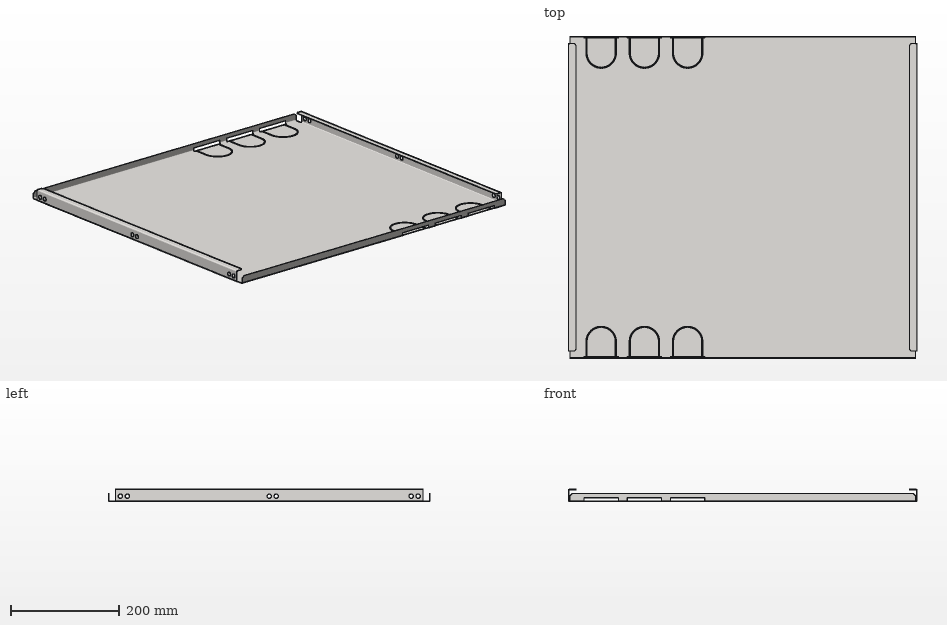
import cadquery as cq

length = 643.5
width = 594.0
height = 22.5
thickness = 1.0
bend_radius = 2.5

side_wall_width = 567.5
lip_width = 14.0
lip_corner = 3.0

end_wall_height = 15.0
end_wall_length = length - 2 * bend_radius
end_wall_corner = 4.5

hole_diameter = 8.0
hole_height = 9.5
hole_pair_spacing = 13.0
hole_end_offset = 275.0

tab_count = 3
tab_pitch = 80.0
first_tab_x = -261.0
slit_radius = 27.0
slit_width = 1.0
tab_depth = 58.0
bridge_width = 2.0

slot_width = 63.0
slot_top = 6.5
slot_reach = 2.9


def centred_box(size_x, size_y, size_z, bottom=0.0):
    """Box centred on X and Y that stands on the given height."""
    box = cq.Workplane("XY").box(size_x, size_y, size_z, centered=(True, True, False))
    return box.translate((0, 0, bottom))


def make_side_channel():
    """Floor, side walls and lips, bent along Y."""
    inner_radius = bend_radius - thickness
    outer = centred_box(length, side_wall_width, height).edges("|Y").fillet(bend_radius)
    inner = centred_box(length - 2 * thickness, side_wall_width, height - 2 * thickness, thickness)
    inner = inner.edges("|Y").fillet(inner_radius)
    lip_gap = length - 2 * lip_width
    opening = centred_box(lip_gap, side_wall_width, height, height / 2)
    channel = outer.cut(inner).cut(opening)
    for side in (-1, 1):
        for end in (-1, 1):
            corner = (side * lip_gap / 2, end * side_wall_width / 2, height - thickness / 2)
            channel = channel.edges(cq.selectors.NearestToPointSelector(corner)).chamfer(lip_corner)
    return channel


def make_end_channel():
    """Floor and end walls, bent along X, with the top corners of the walls cut off."""
    inner_radius = bend_radius - thickness
    outer = centred_box(end_wall_length, width, end_wall_height).edges("|X and <Z").fillet(bend_radius)
    inner = centred_box(end_wall_length, width - 2 * thickness, end_wall_height, thickness)
    inner = inner.edges("|X and <Z").fillet(inner_radius)
    return outer.edges("|Y and >Z").chamfer(end_wall_corner).cut(inner)


def make_side_holes():
    """Pairs of holes running along X through both side walls."""
    pair_starts = (hole_end_offset - hole_pair_spacing, -hole_pair_spacing, -hole_end_offset)
    centres = [(y + step, hole_height) for y in pair_starts for step in (0, hole_pair_spacing)]
    return cq.Workplane("YZ").pushPoints(centres).circle(hole_diameter / 2).extrude(length, both=True)


def u_shape(radius):
    """Round-ended block of floor depth, reaching from the arc of a tab to the +Y end wall."""
    arc_y = width / 2 - tab_depth + slit_radius
    return (
        cq.Workplane("XY")
        .moveTo(-radius, width / 2 - thickness)
        .lineTo(-radius, arc_y)
        .threePointArc((0, arc_y - radius), (radius, arc_y))
        .lineTo(radius, width / 2 - thickness)
        .close()
        .extrude(thickness)
    )


def make_tab_cut():
    """Slit around one tab at the +Y end, and the slot that frees the tab from the wall."""
    slit = u_shape(slit_radius + slit_width / 2).cut(u_shape(slit_radius - slit_width / 2))
    bridge = centred_box(bridge_width, 4 * slit_width, thickness).translate((0, width / 2 - tab_depth, 0))
    slot = centred_box(slot_width, 2 * slot_reach, slot_top).translate((0, width / 2, 0))
    return slit.cut(bridge).union(slot)


result = make_side_channel().union(make_end_channel()).cut(make_side_holes())
tab_cut = make_tab_cut()
for index in range(tab_count):
    placed = tab_cut.translate((first_tab_x + index * tab_pitch, 0, 0))
    result = result.cut(placed).cut(placed.mirror("XZ"))